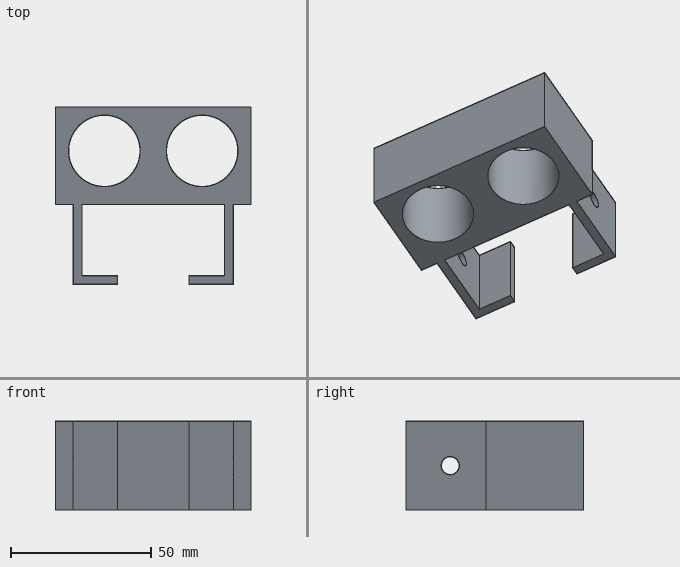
import cadquery as cq

height = 31.8
block_width = 69.85
block_depth = 34.9
total_depth = 63.4
bore_diameter = 25.4
bore_spacing = block_width / 2
bore_to_back = 15.7
bracket_width = 57.15
wall = 3.15
mouth_width = 25.4
cross_hole_diameter = 6.35

bracket_depth = total_depth - block_depth
channel_width = bracket_width - 2 * wall
channel_depth = bracket_depth - wall


def front_box(width, depth, front_y):
    """Full-height box centred on X, starting at front_y and running toward +Y."""
    return (
        cq.Workplane("XY")
        .box(width, depth, height, centered=(True, False, False))
        .translate((0, front_y, 0))
    )


block = front_box(block_width, block_depth, 0)
bracket = (
    front_box(bracket_width, bracket_depth, -bracket_depth)
    .cut(front_box(channel_width, channel_depth, -channel_depth))
    .cut(front_box(mouth_width, bracket_depth, -bracket_depth))
)

bores = (
    cq.Workplane("XY")
    .pushPoints([(side * bore_spacing / 2, block_depth - bore_to_back) for side in (-1, 1)])
    .circle(bore_diameter / 2)
    .extrude(height)
)

cross_hole = (
    cq.Workplane("YZ")
    .center(-channel_depth / 2, height / 2)
    .circle(cross_hole_diameter / 2)
    .extrude(bracket_width / 2, both=True)
)

result = block.union(bracket).cut(bores).cut(cross_hole)